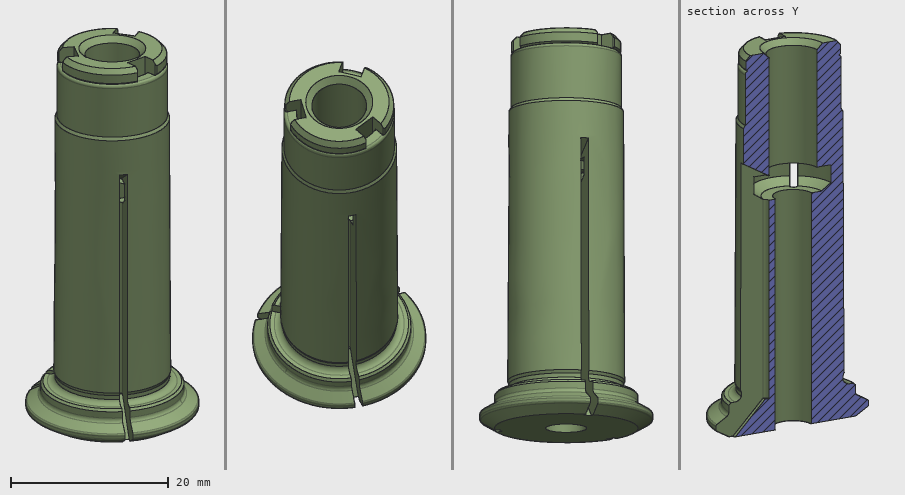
import cadquery as cq
import math

total_height = 50.5
rim_diameter = 21.95
rim_radius = rim_diameter / 2

cone_slope = math.radians(30)
collar_radius = 9.1
rim_middle_height = 1.45
rim_edge_round = 0.3
collar_root_round = 0.65
collar_top = 4.5
collar_chamfer = 0.3
cone_rise = (rim_radius - collar_radius) * math.tan(cone_slope)
collar_root_height = 2 * rim_middle_height

neck_radius = 7.25
neck_flare_round = 1.05
neck_flare_end_radius = 8.25
neck_top = 5.65

body_bottom = 6.05
body_bottom_radius = 7.4
body_top = 40.9
body_top_radius = 7.25
shoulder_radius = 7.0
shoulder_bottom = 41.3
shoulder_round = 0.45

head_height = 2.0
head_base = total_height - head_height
head_radius = 6.9
head_lower_chamfer = 0.2
head_top_radius = 6.3
head_chamfer_height = 0.65
notch_width = 2.95
notch_inner_radius = 4.65
notch_flare_start = 6.55
passage_outer_radius = 5.4
first_notch_angle = 90

through_diameter = 5.2
head_bore_diameter = 6.9
head_countersink_diameter = 8.5
chamber_diameter = 10.9
chamber_floor_diameter = 8.2
chamber_floor = 30.8
chamber_cone_height = 0.9
chamber_ceiling = 34.05

slot_width = 1.0
slot_top = 36.15
slot_floor_start = 4.4
slot_axis_radius = chamber_floor_diameter / 2
first_slot_angle = 180

repeat_count = 3
outer_reach = rim_diameter


def make_outside():
    """Revolve the outside profile and round the corners of the flange."""
    arc_inset = 1 - math.sqrt(0.5)
    flare_centre_height = collar_top + neck_flare_round
    flare_start_angle = math.acos((neck_flare_end_radius - neck_radius) / neck_flare_round)
    flare_middle_angle = (flare_start_angle + math.pi / 2) / 2
    shoulder_inset = shoulder_round * arc_inset
    profile = (
        cq.Workplane("XZ")
        .lineTo(collar_radius, 0)
        .lineTo(rim_radius, cone_rise)
        .lineTo(rim_radius, collar_root_height - cone_rise)
        .lineTo(collar_radius, collar_root_height)
        .lineTo(collar_radius, collar_top - collar_chamfer)
        .lineTo(collar_radius - collar_chamfer, collar_top)
        .lineTo(neck_flare_end_radius, collar_top)
        .threePointArc(
            (neck_flare_end_radius - neck_flare_round * math.cos(flare_middle_angle),
             flare_centre_height - neck_flare_round * math.sin(flare_middle_angle)),
            (neck_radius, flare_centre_height - neck_flare_round * math.sin(flare_start_angle)),
        )
        .lineTo(neck_radius, neck_top)
        .lineTo(body_bottom_radius, body_bottom)
        .lineTo(body_top_radius, body_top)
        .lineTo(shoulder_radius, shoulder_bottom)
        .lineTo(shoulder_radius, head_base - shoulder_round)
        .threePointArc(
            (shoulder_radius - shoulder_inset, head_base - shoulder_inset),
            (shoulder_radius - shoulder_round, head_base),
        )
        .lineTo(head_radius - head_lower_chamfer, head_base)
        .lineTo(head_radius, head_base + head_lower_chamfer)
        .lineTo(head_radius, total_height - head_chamfer_height)
        .lineTo(head_top_radius, total_height)
        .lineTo(0, total_height)
        .close()
    )
    outside = profile.revolve(360, (0, 0, 0), (0, 1, 0))
    rim_edges = cq.selectors.BoxSelector(
        (-outer_reach, -outer_reach, cone_rise / 2),
        (outer_reach, outer_reach, collar_root_height - cone_rise / 2),
        boundingbox=True,
    )
    collar_root_edges = cq.selectors.BoxSelector(
        (-outer_reach, -outer_reach, collar_root_height - cone_rise / 2),
        (outer_reach, outer_reach, collar_root_height + cone_rise / 2),
        boundingbox=True,
    )
    outside = outside.edges("%CIRCLE").edges(rim_edges).fillet(rim_edge_round)
    return outside.edges("%CIRCLE").edges(collar_root_edges).fillet(collar_root_round)


def make_bores():
    """Head bore, wide chamber and through bore as one revolved cutter."""
    countersink_depth = (head_countersink_diameter - head_bore_diameter) / 2
    profile = (
        cq.Workplane("XZ")
        .lineTo(through_diameter / 2, 0)
        .lineTo(through_diameter / 2, chamber_floor)
        .lineTo(chamber_floor_diameter / 2, chamber_floor)
        .lineTo(chamber_diameter / 2, chamber_floor + chamber_cone_height)
        .lineTo(chamber_diameter / 2, chamber_ceiling)
        .lineTo(head_bore_diameter / 2, chamber_ceiling)
        .lineTo(head_bore_diameter / 2, total_height - countersink_depth)
        .lineTo(head_countersink_diameter / 2, total_height)
        .lineTo(0, total_height)
        .close()
    )
    return profile.revolve(360, (0, 0, 0), (0, 1, 0))


def make_notch():
    """Cutter for one drive notch along +X, with a passage from its floor to the chamber."""
    half_width = notch_width / 2
    flare = rim_radius - notch_flare_start
    notch = (
        cq.Workplane("XY")
        .workplane(offset=head_base)
        .moveTo(notch_inner_radius, -half_width)
        .lineTo(notch_flare_start, -half_width)
        .lineTo(rim_radius, -half_width - flare)
        .lineTo(rim_radius, half_width + flare)
        .lineTo(notch_flare_start, half_width)
        .lineTo(notch_inner_radius, half_width)
        .close()
        .extrude(head_height)
    )
    passage_bottom = chamber_floor + chamber_cone_height
    passage_corner = math.sqrt(passage_outer_radius ** 2 - half_width ** 2)
    passage = (
        cq.Workplane("XY")
        .workplane(offset=passage_bottom)
        .moveTo(notch_inner_radius, -half_width)
        .lineTo(passage_corner, -half_width)
        .threePointArc((passage_outer_radius, 0), (passage_corner, half_width))
        .lineTo(notch_inner_radius, half_width)
        .close()
        .extrude(head_base - passage_bottom)
    )
    return notch.union(passage)


def make_slot():
    """Cutter for one slot along +X: 45 degree floor at the foot, round floor, sloped run-out."""
    half_width = slot_width / 2
    foot_radius = slot_axis_radius + slot_floor_start
    run_out_drop = (body_top_radius - through_diameter / 2) * math.tan(cone_slope)
    side_view = (
        cq.Workplane("XZ")
        .moveTo(foot_radius, 0)
        .lineTo(outer_reach, 0)
        .lineTo(outer_reach, slot_top)
        .lineTo(body_top_radius, slot_top)
        .lineTo(through_diameter / 2, slot_top - run_out_drop)
        .lineTo(through_diameter / 2, slot_floor_start)
        .lineTo(slot_axis_radius, slot_floor_start)
        .close()
        .extrude(slot_width, both=True)
    )
    cross_section = (
        cq.Workplane("XY")
        .moveTo(outer_reach, -half_width)
        .lineTo(slot_axis_radius, -half_width)
        .threePointArc((slot_axis_radius - half_width, 0), (slot_axis_radius, half_width))
        .lineTo(outer_reach, half_width)
        .close()
        .extrude(slot_top)
    )
    return cross_section.intersect(side_view)


def cut_around(body, cutter, first_angle):
    """Cut equally spaced copies of a cutter around the Z axis."""
    for index in range(repeat_count):
        angle = first_angle + index * 360 / repeat_count
        body = body.cut(cutter.rotate((0, 0, 0), (0, 0, 1), angle))
    return body


sleeve = make_outside().cut(make_bores())
sleeve = cut_around(sleeve, make_notch(), first_notch_angle)
result = cut_around(sleeve, make_slot(), first_slot_angle)